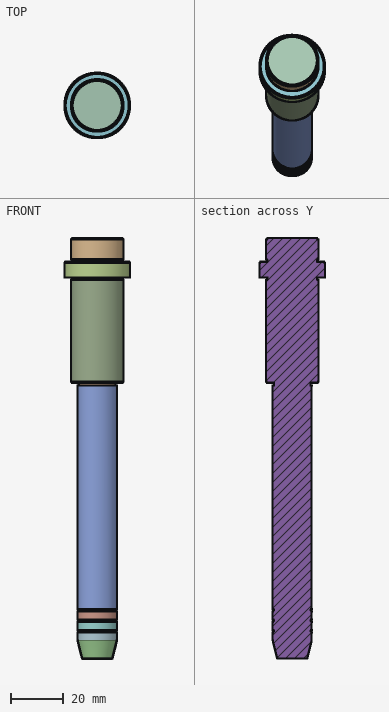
import cadquery as cq

length = 160.0
head_diameter = 20.0
flange_diameter = 25.0
pin_diameter = 15.0

flange_top = length - 9.0
flange_bottom = flange_top - 6.0
body_bottom = length - 55.0

head_chamfer = 0.6
flange_chamfer = 0.5
body_chamfer = 0.5

relief_width = 1.0
relief_depth = 0.5
relief_slope = 0.5

taper_height = 7.0
tip_diameter = 11.5
tip_fillet = 0.6

ring_count = 3
first_ring_height = 10.5
ring_pitch = 4.0
ring_width = 1.0
ring_depth = 0.5


def cylinder(diameter, bottom, top):
    return cq.Workplane("XY").workplane(offset=bottom).circle(diameter / 2).extrude(top - bottom)


def revolved(profile):
    """Turn a list of (radius, height) points around the Z axis."""
    return cq.Workplane("XZ").polyline(profile).close().revolve(360, (0, 0, 0), (0, 1, 0))


def vee_groove(diameter, depth, middle, width):
    """Triangular ring whose point reaches into a cylinder of the given diameter."""
    radius = diameter / 2
    return revolved([
        (radius, middle - width / 2),
        (radius, middle + width / 2),
        (radius - depth, middle),
    ])


def shoulder_relief(shoulder, direction):
    """Groove starting at a flange face, with a sloped far wall; direction is 1 up or -1 down."""
    radius = head_diameter / 2
    floor_radius = radius - relief_depth
    return revolved([
        (radius, shoulder),
        (radius, shoulder + direction * relief_width),
        (floor_radius, shoulder + direction * (relief_width - relief_slope)),
        (floor_radius, shoulder),
    ])


tip_profile = [
    (0, 0),
    (tip_diameter / 2, 0),
    (pin_diameter / 2, taper_height),
    (0, taper_height),
]
tip = revolved(tip_profile)
tip = tip.faces("<Z").edges().fillet(tip_fillet)
neck_bottom = body_bottom - relief_width
pin = tip.union(cylinder(pin_diameter, taper_height, neck_bottom))
pin = pin.union(cylinder(pin_diameter - 2 * relief_depth, neck_bottom, body_bottom))

for index in range(ring_count):
    ring_height = first_ring_height + index * ring_pitch
    pin = pin.cut(vee_groove(pin_diameter, ring_depth, ring_height, ring_width))

body = cylinder(head_diameter, body_bottom, length)
body = body.faces(">Z").edges().chamfer(head_chamfer)
body = body.faces("<Z").edges().chamfer(body_chamfer)
body = body.cut(shoulder_relief(flange_top, 1))
body = body.cut(shoulder_relief(flange_bottom, -1))

flange = cylinder(flange_diameter, flange_bottom, flange_top)
flange = flange.faces(">Z").edges().chamfer(flange_chamfer)

result = pin.union(body).union(flange)